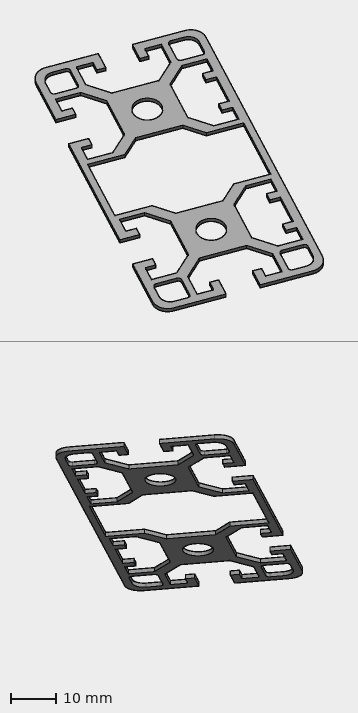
import cadquery as cq

length = 80.0
width = 40.0
thickness = 1.0
half_cell = width / 2
cell_offset = length / 4
outer_radius = 3.6

core_half = 7.45
bore_diameter = 6.8
web_offset = 1.9

slot_wall = 2.2
slot_half_width = 10.0
mouth_half_width = 4.0
lip_width = 2.1
lip_length = 4.7

chamber_inner = 11.6
chamber_outer = 18.1
chamber_large_radius = 2.6
chamber_small_radius = 0.8

central_half_length = 8.5
central_half_width = 18.35


def slot_cutter(has_mouth):
    """T-slot void of a cell centred at the origin, facing +Y."""
    roof = half_cell - slot_wall
    lip_end = half_cell - lip_length
    lip_outer = mouth_half_width + lip_width
    mouth_top = half_cell if has_mouth else roof
    right_side = [
        (core_half - web_offset, core_half),
        (slot_half_width, slot_half_width + web_offset),
        (slot_half_width, roof),
        (lip_outer, roof),
        (lip_outer, lip_end),
        (mouth_half_width, lip_end),
        (mouth_half_width, mouth_top),
    ]
    left_side = [(-x, y) for x, y in reversed(right_side)]
    return cq.Workplane("XY").polyline(right_side + left_side).close().extrude(thickness)


def corner_chamber():
    """Hollow in the +X +Y corner of a cell centred at the origin."""
    size = chamber_outer - chamber_inner
    middle = (chamber_outer + chamber_inner) / 2
    chamber = cq.Workplane("XY").center(middle, middle).rect(size, size).extrude(thickness)
    outer_corner = cq.selectors.NearestToPointSelector((chamber_outer, chamber_outer, thickness / 2))
    chamber = chamber.edges("|Z").edges(outer_corner).fillet(chamber_large_radius)
    for x, y in (
        (chamber_inner, chamber_inner),
        (chamber_inner, chamber_outer),
        (chamber_outer, chamber_inner),
    ):
        corner = cq.selectors.NearestToPointSelector((x, y, thickness / 2))
        chamber = chamber.edges("|Z").edges(corner).fillet(chamber_small_radius)
    return chamber


def central_chamber():
    """Void between the two cores, bounded by their inner diagonal webs."""
    core_face = cell_offset - core_half
    web_top = cell_offset - central_half_length - web_offset
    quadrant = [
        (core_face, core_half - web_offset),
        (central_half_length, web_top),
        (central_half_length, central_half_width),
    ]
    upper = quadrant + [(-x, y) for x, y in reversed(quadrant)]
    lower = [(x, -y) for x, y in reversed(upper)]
    return cq.Workplane("XY").polyline(upper + lower).close().extrude(thickness)


def turned(shape, angle):
    """Copy of a shape turned about the Z axis."""
    return shape.rotate((0, 0, 0), (0, 0, 1), angle)


def cell_voids(side):
    """Voids of one cell centred at the origin; side is -1 for the left cell, +1 for the right."""
    outward_slot_angle = -90 * side
    chamber_angles = (0, -90) if side > 0 else (90, 180)
    return [
        cq.Workplane("XY").circle(bore_diameter / 2).extrude(thickness),
        slot_cutter(has_mouth=False),
        turned(slot_cutter(has_mouth=True), 180),
        turned(slot_cutter(has_mouth=True), outward_slot_angle),
    ] + [turned(corner_chamber(), angle) for angle in chamber_angles]


plate = cq.Workplane("XY").rect(length, width).extrude(thickness)
plate = plate.edges("|Z").fillet(outer_radius)
plate = plate.cut(central_chamber())
for side in (-1, 1):
    for void in cell_voids(side):
        plate = plate.cut(void.translate((side * cell_offset, 0, 0)))

result = plate